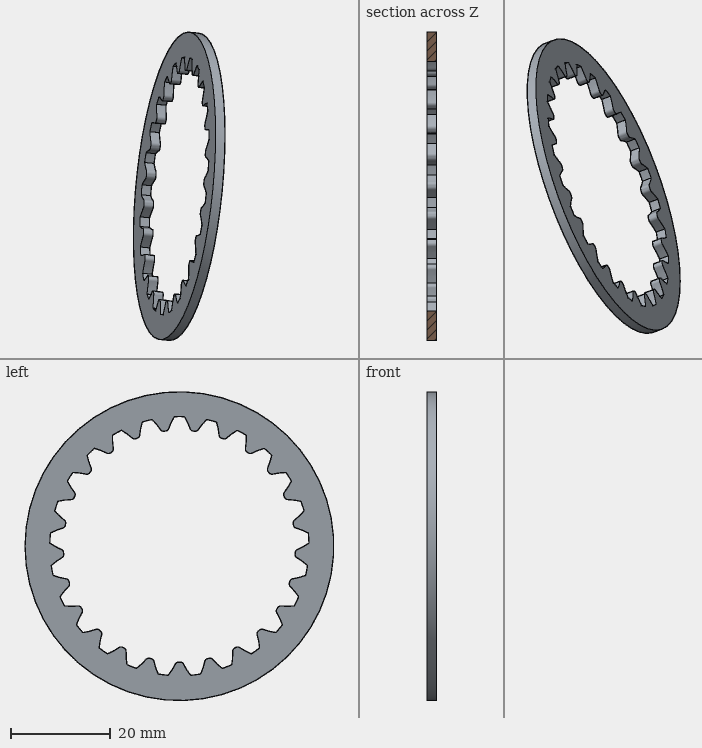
import cadquery as cq
import math

outer_radius = 31.0
thickness = 2.0
tooth_count = 25
pitch_radius = 25.0
root_radius = 26.0
tip_radius = 23.25
tip_fillet = 0.75
pressure_angle = math.radians(30)
flank_points = 6

base_radius = pitch_radius * math.cos(pressure_angle)
tooth_pitch = 2 * math.pi / tooth_count
pitch_half_angle = tooth_pitch / 4
radius_step = (root_radius - tip_radius) / (flank_points - 1)
flank_radii = [tip_radius + i * radius_step for i in range(flank_points)]


def ring_face():
    """Sketch plane on the -X face, so that the ring is centred on X = 0."""
    return cq.Workplane("YZ").workplane(offset=-thickness / 2)


def involute(angle):
    return math.tan(angle) - angle


def tooth_half_angle(radius):
    """Half the angle a tooth spans at a radius; internal teeth widen outward."""
    local_angle = math.acos(base_radius / radius)
    return pitch_half_angle + involute(local_angle) - involute(pressure_angle)


def polar_point(radius, angle):
    """Point in the YZ plane, with the angle measured from -Z towards +Y."""
    return (radius * math.sin(angle), -radius * math.cos(angle))


def flank(tooth_angle, side):
    """Flank points from tip to root; side is -1 or +1."""
    return [polar_point(r, tooth_angle + side * tooth_half_angle(r)) for r in flank_radii]


def make_bore():
    """Toothed opening: each tooth adds two flanks, a tip arc and the root arc after it."""
    tooth_angles = [i * tooth_pitch for i in range(tooth_count)]
    profile = ring_face().moveTo(*flank(tooth_angles[0], -1)[-1])
    for tooth_angle in tooth_angles:
        entry_flank = flank(tooth_angle, -1)[::-1]
        exit_flank = flank(tooth_angle, 1)
        gap_middle = polar_point(root_radius, tooth_angle + tooth_pitch / 2)
        next_tooth_root = flank(tooth_angle + tooth_pitch, -1)[-1]
        profile = (
            profile
            .spline(entry_flank[1:], includeCurrent=True)
            .threePointArc(polar_point(tip_radius, tooth_angle), exit_flank[0])
            .spline(exit_flank[1:], includeCurrent=True)
            .threePointArc(gap_middle, next_tooth_root)
        )
    return profile.close().extrude(thickness)


def is_tip_corner(edge):
    """True for an edge closer to the axis than the pitch circle."""
    center = edge.Center()
    return math.hypot(center.y, center.z) < pitch_radius


blank = ring_face().circle(outer_radius).extrude(thickness)
toothed_ring = blank.cut(make_bore())
result = toothed_ring.edges("|X").filter(is_tip_corner).fillet(tip_fillet)